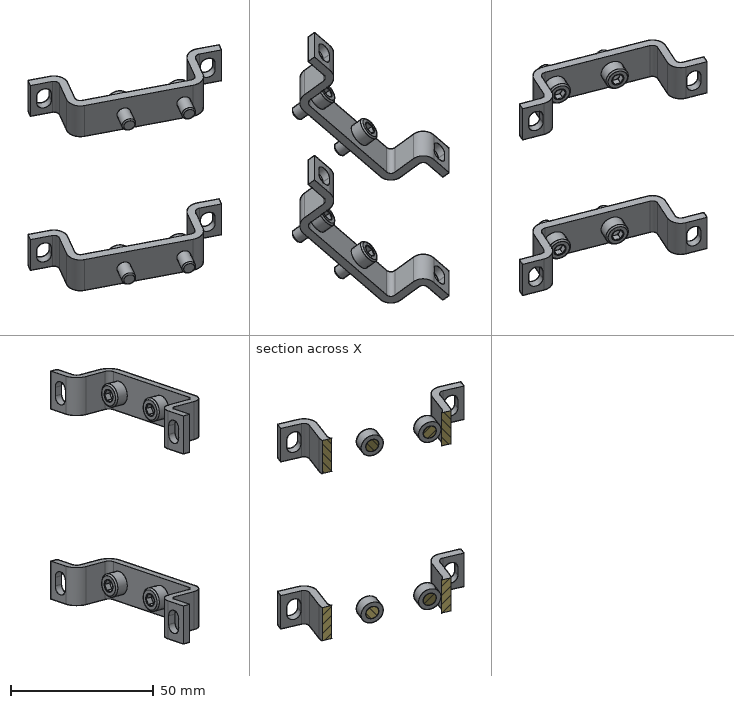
import cadquery as cq
import math

BRACKET_LENGTH = 70.0
STRIP_WIDTH = 14.0
THICKNESS = 3.0
HAT_DEPTH = 19.0
HAT_WIDTH = 49.9
INNER_BEND = 2.0
OUTER_BEND = INNER_BEND + THICKNESS

SLOT_WIDTH = 5.3
SLOT_LENGTH = 8.5
SLOT_EDGE_DISTANCE = 5.0

SHANK_DIAMETER = 5.0
HEAD_DIAMETER = 8.5
HEAD_HEIGHT = 5.0
SCREW_TIP_X = 25.7
SHANK_LENGTH = 10.0
HEAD_CHAMFER = 0.6
TIP_CHAMFER = 0.5
SOCKET_FLATS = 3.9
SOCKET_MOUTH_DIAMETER = 4.6
SOCKET_DEPTH = 2.5
SOCKET_POINT_ANGLE = 120
SCREW_YS = (16.5, -5.5)

OVERALL_HEIGHT = 84
SET_OFFSET = (OVERALL_HEIGHT - STRIP_WIDTH) / 2
SET_ZS = (-SET_OFFSET, SET_OFFSET)

HEAD_SEAT_X = SCREW_TIP_X - SHANK_LENGTH
HEAD_TOP_X = HEAD_SEAT_X - HEAD_HEIGHT


def cylinder_along_x(diameter, start_x, length):
    """Cylinder on the X axis, growing toward +X."""
    return cq.Workplane("YZ", origin=(start_x, 0, 0)).circle(diameter / 2).extrude(length)


def bent_strip():
    """Hat-shaped strip, centred on Y = 0 and Z = 0, with its foot faces at X = 0."""
    foot_end = BRACKET_LENGTH / 2
    wall_outside = HAT_WIDTH / 2
    wall_inside = wall_outside - THICKNESS
    web_inside = HAT_DEPTH - THICKNESS
    strip = (
        cq.Workplane("XY", origin=(0, 0, -STRIP_WIDTH / 2))
        .polyline([
            (0, foot_end),
            (THICKNESS, foot_end),
            (THICKNESS, wall_outside),
            (HAT_DEPTH, wall_outside),
            (HAT_DEPTH, -wall_outside),
            (THICKNESS, -wall_outside),
            (THICKNESS, -foot_end),
            (0, -foot_end),
            (0, -wall_inside),
            (web_inside, -wall_inside),
            (web_inside, wall_inside),
            (0, wall_inside),
        ])
        .close()
        .extrude(STRIP_WIDTH)
    )
    for side in (-1, 1):
        outer_corners = [(0, side * wall_inside), (HAT_DEPTH, side * wall_outside)]
        inner_corners = [(THICKNESS, side * wall_outside), (web_inside, side * wall_inside)]
        for corners, radius in ((outer_corners, OUTER_BEND), (inner_corners, INNER_BEND)):
            for x, y in corners:
                strip = strip.edges(cq.selectors.NearestToPointSelector((x, y, 0))).fillet(radius)
    return strip


def make_bracket():
    """Bent strip with a slot in each foot and a hole for each screw."""
    slot_y = BRACKET_LENGTH / 2 - SLOT_EDGE_DISTANCE
    slots = (
        cq.Workplane("YZ")
        .pushPoints([(-slot_y, 0), (slot_y, 0)])
        .slot2D(SLOT_LENGTH, SLOT_WIDTH, 90)
        .extrude(THICKNESS)
    )
    bracket = bent_strip().cut(slots)
    screw_hole = cylinder_along_x(SHANK_DIAMETER, HAT_DEPTH - THICKNESS, THICKNESS)
    for y in SCREW_YS:
        bracket = bracket.cut(screw_hole.translate((0, y, 0)))
    return bracket


def cone_along_x(base_diameter, base_x):
    """Cone on the X axis, with its point toward +X."""
    radius = base_diameter / 2
    height = radius / math.tan(math.radians(SOCKET_POINT_ANGLE / 2))
    cone = cq.Solid.makeCone(radius, 0, height, pnt=cq.Vector(base_x, 0, 0), dir=cq.Vector(1, 0, 0))
    return cq.Workplane(cone)


def hex_socket():
    """Hexagonal recess in the head top, with a countersunk mouth and a conical floor."""
    across_corners = SOCKET_FLATS / math.cos(math.pi / 6)
    flats = (
        cq.Workplane("YZ", origin=(HEAD_TOP_X, 0, 0))
        .polygon(6, across_corners)
        .extrude(SOCKET_DEPTH)
    )
    mouth = cone_along_x(SOCKET_MOUTH_DIAMETER, HEAD_TOP_X)
    floor = cone_along_x(SOCKET_FLATS, HEAD_TOP_X + SOCKET_DEPTH)
    return flats.union(mouth).union(floor)


def make_screw():
    """Socket head screw on the X axis, head toward -X."""
    head = cylinder_along_x(HEAD_DIAMETER, HEAD_TOP_X, HEAD_HEIGHT).faces("<X").chamfer(HEAD_CHAMFER)
    shank = cylinder_along_x(SHANK_DIAMETER, HEAD_SEAT_X, SHANK_LENGTH).faces(">X").chamfer(TIP_CHAMFER)
    return head.union(shank).cut(hex_socket())


bracket = make_bracket()
screw = make_screw()

brackets = []
screws = []
for z in SET_ZS:
    brackets.append(bracket.translate((0, 0, z)).val())
    for y in SCREW_YS:
        screws.append(screw.translate((0, y, z)).val())

result = cq.Compound.makeCompound([*brackets, *screws])